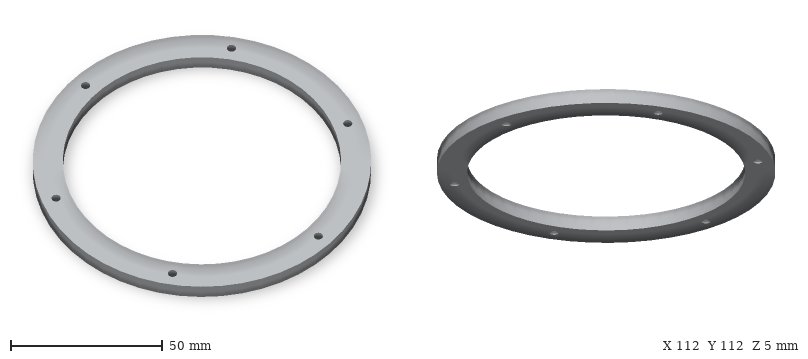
import cadquery as cq

outer_diameter = 112.0
bore_diameter = 92.0
thickness = 5.0

hole_count = 6
hole_diameter = 3.0
bolt_circle_radius = (outer_diameter + bore_diameter) / 4

ring = (
    cq.Workplane("XY")
    .circle(outer_diameter / 2)
    .circle(bore_diameter / 2)
    .extrude(thickness)
)

holes = (
    cq.Workplane("XY")
    .polarArray(bolt_circle_radius, 0, 360, hole_count)
    .circle(hole_diameter / 2)
    .extrude(thickness)
)

result = ring.cut(holes)